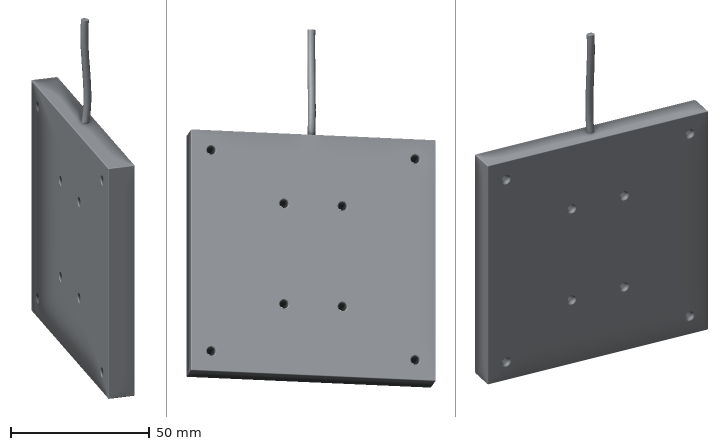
import cadquery as cq

plate_side = 90.0
plate_thickness = 10.0
edge_round = 0.31

hole_diameter = 3.1
hole_mouth_chamfer = 0.3
corner_hole_spacing = 75.0
inner_hole_spacing_x = 21.5
inner_hole_spacing_z = 37.5

cable_end_z = 130.1
cable_diameter = 2.9
cable_root_depth = 1.3
cable_exit_y = 0.9
cable_rear_bend_y = 1.5
cable_rear_bend_rise = 14.3
cable_front_bend_y = 0.5
cable_front_bend_rise = 32.5
cable_end_y = 0.8


def make_plate():
    """Plate with all outer edges slightly rounded."""
    plate = cq.Workplane("XY").box(
        plate_side, plate_thickness, plate_side, centered=(True, True, False)
    )
    return plate.edges().fillet(edge_round)


def make_holes(spacing_x, spacing_z):
    """Four hole cutters running through the plate, chamfered at both mouths."""
    radius = hole_diameter / 2
    mouth_radius = radius + hole_mouth_chamfer
    face_y = plate_thickness / 2
    chamfer_y = face_y - hole_mouth_chamfer
    cutter = (
        cq.Workplane("XY")
        .polyline([
            (0, -face_y),
            (mouth_radius, -face_y),
            (radius, -chamfer_y),
            (radius, chamfer_y),
            (mouth_radius, face_y),
            (0, face_y),
        ])
        .close()
        .revolve(360, (0, 0, 0), (0, 1, 0))
    )
    plate_centre_z = plate_side / 2
    cutters = cq.Workplane("XY")
    for side_x in (-1, 1):
        for side_z in (-1, 1):
            x = side_x * spacing_x / 2
            z = plate_centre_z + side_z * spacing_z / 2
            cutters = cutters.add(cutter.translate((x, 0, z)))
    return cutters.combine()


def make_cable():
    """Round cable swept along a smooth wave."""
    cable_path = (
        cq.Workplane("YZ")
        .moveTo(cable_exit_y, plate_side - cable_root_depth)
        .lineTo(cable_exit_y, plate_side)
        .spline(
            [
                (cable_rear_bend_y, plate_side + cable_rear_bend_rise),
                (cable_front_bend_y, plate_side + cable_front_bend_rise),
                (cable_end_y, cable_end_z),
            ],
            includeCurrent=True,
        )
    )
    return (
        cq.Workplane("XY", origin=(0, cable_exit_y, plate_side - cable_root_depth))
        .circle(cable_diameter / 2)
        .sweep(cable_path)
    )


plate = make_plate()
plate = plate.cut(make_holes(corner_hole_spacing, corner_hole_spacing))
plate = plate.cut(make_holes(inner_hole_spacing_x, inner_hole_spacing_z))
result = plate.union(make_cable())